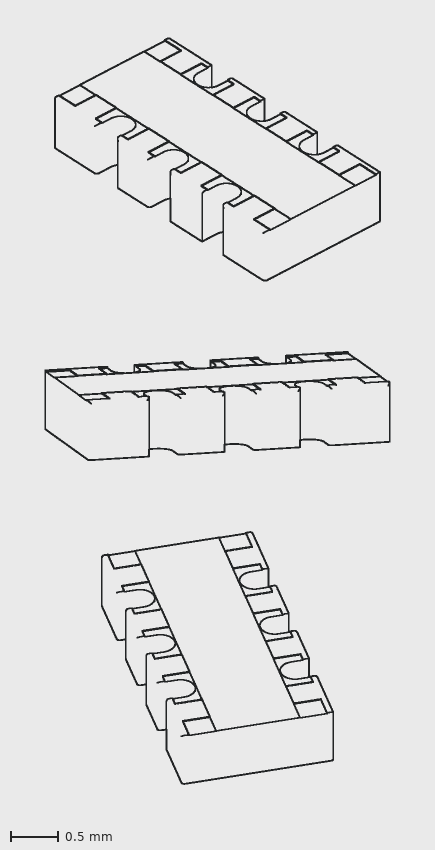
import cadquery as cq

length = 3.34
width = 1.67
height = 0.64

terminal_count = 4
pitch = length / terminal_count
notch_width = 0.315
notch_depth = 0.365
notch_radius = notch_width / 2

metal_rise = 0.01
strip_depth = 0.077
pad_width = 0.32
pad_reach = 0.375
edge_radius = 0.035

coating_rise = 0.005
coating_width = width - 2 * pad_reach

body_height = height - metal_rise
end_x = length / 2
front_y = -width / 2
tooth_half = (pitch - notch_width) / 2
pad_centers = [(i + 0.5) * pitch - end_x for i in range(terminal_count)]
notch_centers = [(i + 1) * pitch - end_x for i in range(terminal_count - 1)]

sharp_terminal = 2


def block(x_min, x_max, y_min, y_max, z_min, z_max):
    """Box given by its limits along each axis."""
    size = (x_max - x_min, y_max - y_min, z_max - z_min)
    return cq.Workplane("XY").box(*size, centered=False).translate((x_min, y_min, z_min))


def make_core():
    """Ceramic body between the two rows of edge strips."""
    core_half = width / 2 - strip_depth
    return block(-end_x, end_x, -core_half, core_half, 0, body_height)


def make_notch(x_center):
    """Full-height cutter for one notch in the -Y side."""
    arc_y = front_y + notch_depth - notch_radius
    return (
        cq.Workplane("XY")
        .moveTo(x_center - notch_radius, front_y)
        .lineTo(x_center - notch_radius, arc_y)
        .threePointArc((x_center, front_y + notch_depth), (x_center + notch_radius, arc_y))
        .lineTo(x_center + notch_radius, front_y)
        .close()
        .extrude(height)
    )


def make_terminal(index, right_edge_sharp=False):
    """One -Y terminal: a full-height edge strip joined to a raised top pad."""
    x_center = pad_centers[index]
    is_first = index == 0
    is_last = index == terminal_count - 1
    x_min = -end_x if is_first else x_center - tooth_half
    x_max = end_x if is_last else x_center + tooth_half

    strip = block(x_min, x_max, front_y, front_y + strip_depth, 0, height)
    rounded_edges = "not (<Z or >X)" if right_edge_sharp else "not <Z"
    strip = strip.faces("<Y").edges(rounded_edges).fillet(edge_radius)

    pad_half = pad_width / 2
    pad = block(
        x_center - pad_half,
        x_center + pad_half,
        front_y + strip_depth,
        front_y + pad_reach,
        body_height,
        height,
    )
    return strip.union(pad)


def make_coating():
    """Coating running the full length over the middle of the body."""
    half = coating_width / 2
    return block(-end_x, end_x, -half, half, body_height, body_height + coating_rise)


result = make_core()
for notch_x in notch_centers:
    notch = make_notch(notch_x)
    result = result.cut(notch).cut(notch.mirror("XZ"))
for index in range(terminal_count):
    front_terminal = make_terminal(index, right_edge_sharp=index == sharp_terminal)
    back_terminal = make_terminal(index).mirror("XZ")
    result = result.union(front_terminal).union(back_terminal)
result = result.union(make_coating())